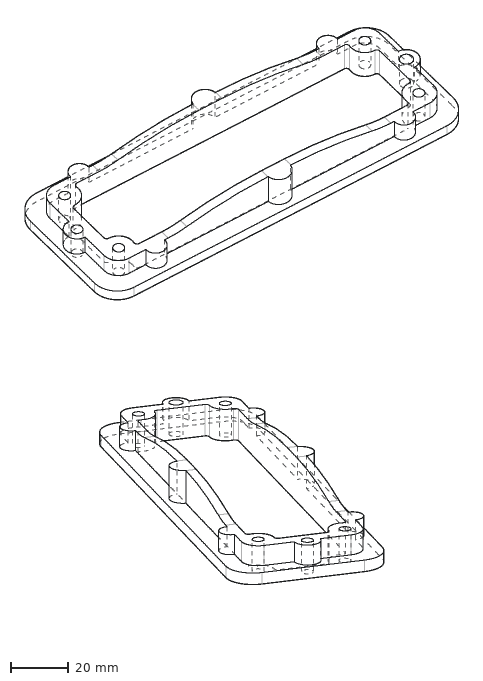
import cadquery as cq
import math

length = 156.0
width = 58.0
base_height = 4.4
base_corner_radius = 10.0

wall_length = 143.2
wall_width = 44.8
wall_corner_radius = 6.2
window_length = 132.9
window_width = 37.1
wall_top = 11.9

crest_top = 16.7
crest_flat_half = 5.0
crest_inflection_y = 40.2
crest_end_y = 48.4

boss_reach_x = 26.7
side_boss_radius = 4.0
side_boss_y = 54.0
middle_boss_radius = 4.8
end_boss_radius = 4.8
end_y = 71.6

corner_x = 16.0
corner_y = 65.2
corner_boss_radius = 6.0
window_fillet = 1.2
corner_points = [(sx * corner_x, sy * corner_y) for sx in (-1, 1) for sy in (-1, 1)]
corner_hole_diameter = 4.2
back_hole_diameter = 5.0
front_hole_diameter = 4.2


def rounded_block(size_x, size_y, height, radius):
    block = cq.Workplane("XY").box(size_x, size_y, height, centered=(True, True, False))
    return block.edges("|Z").fillet(radius)


def cylinders(points, radius, height):
    return cq.Workplane("XY").pushPoints(points).circle(radius).extrude(height)


def crest_profile():
    """Side outline: flat middle, convex arcs, then concave arcs blending into the wall top."""
    convex_run = crest_inflection_y - crest_flat_half
    total_run = crest_end_y - crest_flat_half
    rise = crest_top - wall_top
    angle = 2 * math.atan(rise / total_run)
    convex_radius = convex_run / math.sin(angle)
    concave_radius = (crest_end_y - crest_inflection_y) / math.sin(angle)

    def convex_point(turn):
        drop = convex_radius * (1 - math.cos(turn))
        return crest_flat_half + convex_radius * math.sin(turn), crest_top - drop

    def concave_point(turn):
        lift = concave_radius * (1 - math.cos(turn))
        return crest_end_y - concave_radius * math.sin(turn), wall_top + lift

    def mirrored(point):
        return -point[0], point[1]

    crest_edge = convex_point(0)
    convex_middle = convex_point(angle / 2)
    inflection = convex_point(angle)
    concave_middle = concave_point(angle / 2)
    crest_end = concave_point(0)
    return (
        cq.Workplane("YZ")
        .moveTo(-crest_end_y, 0)
        .lineTo(*mirrored(crest_end))
        .threePointArc(mirrored(concave_middle), mirrored(inflection))
        .threePointArc(mirrored(convex_middle), mirrored(crest_edge))
        .lineTo(*crest_edge)
        .threePointArc(convex_middle, inflection)
        .threePointArc(concave_middle, crest_end)
        .lineTo(crest_end_y, 0)
        .close()
    )


def window_cutter():
    """Rectangular opening with round corner bosses left standing and small blends beside them."""
    opening = cq.Workplane("XY").rect(window_width, window_length).extrude(crest_top)
    opening = opening.cut(cylinders(corner_points, corner_boss_radius, crest_top))
    return opening.edges("|Z").fillet(window_fillet)


base = rounded_block(width, length, base_height, base_corner_radius)
wall = rounded_block(wall_width, wall_length, wall_top, wall_corner_radius)
crest = crest_profile().extrude(wall_width / 2, both=True)
body = base.union(wall).union(crest)

side_boss_x = boss_reach_x - side_boss_radius
side_points = [(sx * side_boss_x, sy * side_boss_y) for sx in (-1, 1) for sy in (-1, 1)]
middle_boss_x = boss_reach_x - middle_boss_radius
middle_points = [(-middle_boss_x, 0), (middle_boss_x, 0)]
end_points = [(0, -end_y), (0, end_y)]
body = body.union(cylinders(side_points, side_boss_radius, wall_top))
body = body.union(cylinders(middle_points, middle_boss_radius, crest_top))
body = body.union(cylinders(end_points, end_boss_radius, wall_top))

body = body.cut(window_cutter())
body = body.cut(cylinders(corner_points, corner_hole_diameter / 2, wall_top))
body = body.cut(cylinders([(0, end_y)], back_hole_diameter / 2, wall_top))
body = body.cut(cylinders([(0, -end_y)], front_hole_diameter / 2, wall_top))

result = body